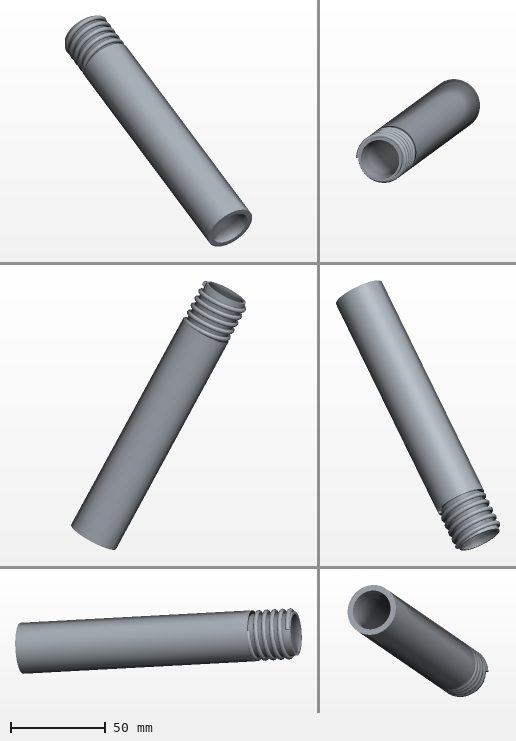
import cadquery as cq

tube_length = 150.0
outer_diameter = 27.0
bore_diameter = 21.0

neck_diameter = 23.4
neck_length = 23.1

bead_diameter = 2.4
thread_pitch = 4.4
thread_turns = 5
thread_length = thread_pitch * thread_turns
thread_start = neck_length - thread_length
bead_path_radius = (outer_diameter - bead_diameter) / 2


def make_tube():
    neck = cq.Workplane("YZ").circle(neck_diameter / 2).extrude(neck_length)
    body = (
        cq.Workplane("YZ", origin=(neck_length, 0, 0))
        .circle(outer_diameter / 2)
        .extrude(tube_length - neck_length)
    )
    bore = cq.Workplane("YZ").circle(bore_diameter / 2).extrude(tube_length)
    return neck.union(body).cut(bore)


def make_thread():
    """Right-handed bead that starts on the +Y side and ends at the shoulder."""
    helix = cq.Wire.makeHelix(thread_pitch, thread_length, bead_path_radius)
    bead = (
        cq.Workplane("XZ", origin=(bead_path_radius, 0, 0))
        .circle(bead_diameter / 2)
        .sweep(cq.Workplane(obj=helix), isFrenet=True)
    )
    return bead.rotate((0, 0, 0), (1, 1, 1), 120).translate((thread_start, 0, 0))


result = make_tube().union(make_thread())